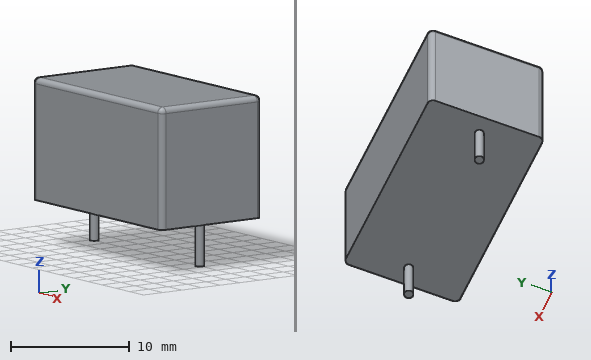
import cadquery as cq

HOUSING_LENGTH = 18.5
HOUSING_WIDTH = 10.5
HOUSING_HEIGHT = 10.49
EDGE_RADIUS = 0.5

PIN_DIAMETER = 0.8
PIN_LENGTH = 3.81
PIN_SPACING = 15.15


def make_housing():
    """Box standing on Z = 0, centred in X and Y, rounded everywhere except around its base."""
    box = cq.Workplane("XY").box(
        HOUSING_LENGTH, HOUSING_WIDTH, HOUSING_HEIGHT, centered=(True, True, False)
    )
    return box.edges("|Z or >Z").fillet(EDGE_RADIUS)


def make_pin(x):
    """Straight pin on the X axis at the given x, running down from the housing base."""
    return cq.Workplane("XY").center(x, 0).circle(PIN_DIAMETER / 2).extrude(-PIN_LENGTH)


housing = make_housing()

pins = []
for side in (-1, 1):
    pins.append(make_pin(side * PIN_SPACING / 2))

result = cq.Compound.makeCompound([housing.val(), *[pin.val() for pin in pins]])